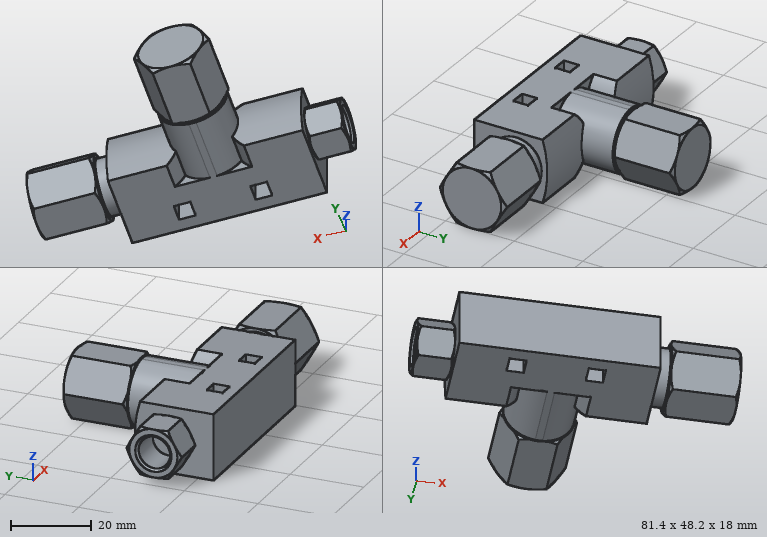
import cadquery as cq
import math

length = 81.4
block_left = 9.45
block_length = 50.9
block_height = 18.0
block_depth_mid = 21.3
block_depth_edge = 19.95

run_y = 12.2
run_neck_diameter = 15.0
run_washer_diameter = 15.3
run_washer_thickness = 0.25

branch_x = block_left + block_length / 2
branch_end = 48.2
branch_flat_width = 1.9
branch_diameter = math.hypot(block_height, branch_flat_width)
collar_length = 0.3

relief_start = 13.2
relief_width = 20.2
relief_wall_radius = 12.2

large_nut_flats = 17.0
large_nut_length = 17.5
small_nut_flats = 13.0
nut_chamfer_angle = 30.0

bore_diameter = 8.55
bore_mouth_diameter = 9.85
bore_depth = block_left

square_size = 4.3
square_spacing = 20.0
square_y = 5.45

half_height = block_height / 2


def hex_nut(flats, nut_length):
    """Nut along +Z from the origin, corners on the local X axis, both ends chamfered."""
    corner_diameter = flats / math.cos(math.pi / 6)
    corner_radius = corner_diameter / 2
    face_radius = flats / 2
    chamfer = (corner_radius - face_radius) * math.tan(math.radians(nut_chamfer_angle))
    prism = cq.Workplane("XY").polygon(6, corner_diameter).extrude(nut_length)
    envelope = (
        cq.Workplane("XZ")
        .moveTo(0, 0)
        .lineTo(face_radius, 0)
        .lineTo(corner_radius, chamfer)
        .lineTo(corner_radius, nut_length - chamfer)
        .lineTo(face_radius, nut_length)
        .lineTo(0, nut_length)
        .close()
        .revolve(360, (0, 0, 0), (0, 1, 0))
    )
    return prism.intersect(envelope)


def along_run(x):
    """Plane across the run, normal to +X, local X along +Y."""
    return cq.Plane(origin=(x, run_y, 0), xDir=(0, 1, 0), normal=(1, 0, 0))


def along_branch(y):
    """Plane across the branch, normal to +Y, local X along +X."""
    return cq.Plane(origin=(branch_x, y, 0), xDir=(1, 0, 0), normal=(0, 1, 0))


def placed(body, plane):
    return cq.Workplane(obj=body.val().located(cq.Location(plane)))


def make_block():
    """Box with a shallow cylindrical crown on its back face."""
    return (
        cq.Workplane("YZ", origin=(block_left, 0, 0))
        .moveTo(0, -half_height)
        .lineTo(block_depth_edge, -half_height)
        .threePointArc((block_depth_mid, 0), (block_depth_edge, half_height))
        .lineTo(0, half_height)
        .close()
        .extrude(block_length)
    )


def make_relief():
    """Channel around the branch whose side walls bulge towards it."""
    half_width = relief_width / 2
    bulge = relief_wall_radius - math.sqrt(relief_wall_radius**2 - half_height**2)
    waist = half_width - bulge
    return (
        cq.Workplane(along_branch(relief_start))
        .moveTo(-half_width, -half_height)
        .lineTo(half_width, -half_height)
        .threePointArc((waist, 0), (half_width, half_height))
        .lineTo(-half_width, half_height)
        .threePointArc((-waist, 0), (-half_width, -half_height))
        .close()
        .extrude(block_depth_mid)
    )


def make_branch():
    """Round neck trimmed flush with the block, a short collar and a nut."""
    nut_start = branch_end - large_nut_length
    neck_end = nut_start - collar_length
    neck_length = neck_end - relief_start
    neck = cq.Workplane(along_branch(relief_start)).circle(branch_diameter / 2).extrude(neck_length)
    trim = cq.Workplane(along_branch(relief_start)).rect(2 * branch_diameter, block_height).extrude(neck_length)
    collar = cq.Workplane(along_branch(neck_end)).circle(half_height).extrude(collar_length)
    nut = placed(hex_nut(large_nut_flats, large_nut_length), along_branch(nut_start))
    return neck.intersect(trim).union(collar).union(nut)


def make_run_outlet():
    """Round neck, thin washer face and large nut on the right end of the block."""
    block_right = block_left + block_length
    nut_start = length - large_nut_length
    neck = (
        cq.Workplane(along_run(block_right))
        .circle(run_neck_diameter / 2)
        .extrude(nut_start - block_right)
    )
    washer = (
        cq.Workplane(along_run(nut_start - run_washer_thickness))
        .circle(run_washer_diameter / 2)
        .extrude(run_washer_thickness)
    )
    nut = placed(hex_nut(large_nut_flats, large_nut_length), along_run(nut_start))
    return neck.union(washer).union(nut)


def make_bore():
    """Blind bore with a 45 degree countersunk mouth."""
    bore_radius = bore_diameter / 2
    mouth_radius = bore_mouth_diameter / 2
    return (
        cq.Workplane("XY", origin=(0, run_y, 0))
        .lineTo(0, mouth_radius)
        .lineTo(mouth_radius - bore_radius, bore_radius)
        .lineTo(bore_depth, bore_radius)
        .lineTo(bore_depth, 0)
        .close()
        .revolve(360, (0, 0, 0), (1, 0, 0))
    )


def make_square_holes():
    return (
        cq.Workplane("XY", origin=(branch_x, square_y, -half_height))
        .pushPoints([(-square_spacing / 2, 0), (square_spacing / 2, 0)])
        .rect(square_size, square_size)
        .extrude(block_height)
    )


result = (
    make_block()
    .cut(make_relief())
    .union(make_branch())
    .union(make_run_outlet())
    .union(placed(hex_nut(small_nut_flats, block_left), along_run(0)))
    .cut(make_bore())
    .cut(make_square_holes())
)